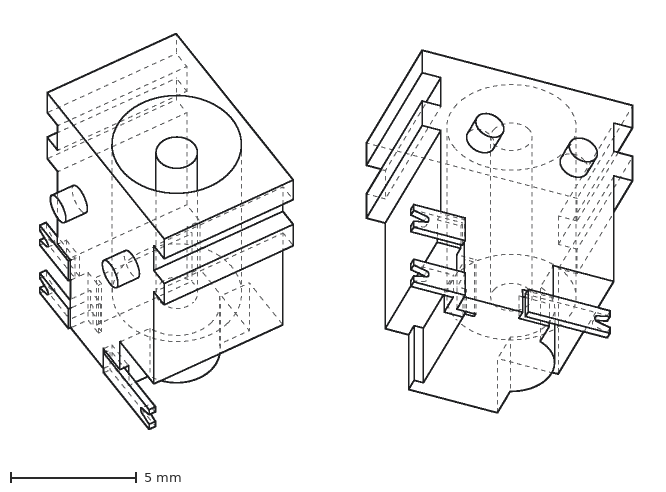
import cadquery as cq


HOUSING_DEPTH = 6.0
HOUSING_TOP_Z = 12.5
FLANGE_LEFT_X = 0.4
FLANGE_WIDTH = 9.0
FLANGE_OVERHANG = 0.8
UPPER_BODY_BOTTOM_Z = 2.9
TOP_FLANGE_BOTTOM_Z = 11.3
LOWER_FLANGE_TOP_Z = 9.8
LOWER_FLANGE_BOTTOM_Z = 8.5

HOUSING_CENTER_X = FLANGE_LEFT_X + FLANGE_WIDTH / 2
BODY_LEFT_X = FLANGE_LEFT_X + FLANGE_OVERHANG
BODY_WIDTH = FLANGE_WIDTH - 2 * FLANGE_OVERHANG

FOOT_LEFT_X = 2.2
FOOT_RIGHT_X = 6.0
FOOT_FRONT_WALL = 0.8
FOOT_BACK_WALL = 0.6
FOOT_RECESS_DEPTH = 0.4
FOOT_SLOT_WIDTH = 0.15

SOCKET_X = 5.4
SOCKET_Y = HOUSING_DEPTH / 2
BORE_DIAMETER = 5.15
BORE_FLOOR_THICKNESS = 0.6
BORE_FLOOR_Z = UPPER_BODY_BOTTOM_Z + BORE_FLOOR_THICKNESS
PIN_DIAMETER = 1.65
PIN_TOP_DROP = 0.5
BOSS_DIAMETER = 3.45

PEG_DIAMETER = 1.2
PEG_LENGTH = 1.0
PEG_SPACING = 4.0
PEG_Z = LOWER_FLANGE_BOTTOM_Z

TERMINAL_HEIGHT = 1.2
TERMINAL_THICKNESS = 0.3
TERMINAL_PROUD = 0.1
TERMINAL_FRONT_Y = -TERMINAL_PROUD
TERMINAL_SLOT_DEPTH = 0.4
SIDE_TERMINAL_Z = UPPER_BODY_BOTTOM_Z
RIGHT_TERMINAL_TIP_X = 8.4
RIGHT_TERMINAL_LENGTH = 3.5
RIGHT_SLOT_CLEARANCE = 0.2
RIGHT_TERMINAL_LEFT_X = RIGHT_TERMINAL_TIP_X - RIGHT_TERMINAL_LENGTH

LEG_THICKNESS = 0.4
LEG_BACK_Y = 1.15

NOTCH_MOUTH = 0.58
NOTCH_THROAT = 0.3
NOTCH_FLANK_DEPTH = 0.55
NOTCH_DEPTH = 0.65


def box_between(x_min, x_max, y_min, y_max, z_min, z_max):
    """Box given by its limits along each axis."""
    size = (x_max - x_min, y_max - y_min, z_max - z_min)
    return cq.Workplane("XY").box(*size, centered=False).translate((x_min, y_min, z_min))


def upright_cylinder(diameter, z_min, z_max):
    """Vertical cylinder on the socket axis."""
    base = cq.Workplane("XY", origin=(SOCKET_X, SOCKET_Y, z_min))
    return base.circle(diameter / 2).extrude(z_max - z_min)


def make_flange(z_min, z_max):
    """Wide band around the left and right sides of the housing."""
    flange_right_x = FLANGE_LEFT_X + FLANGE_WIDTH
    return box_between(FLANGE_LEFT_X, flange_right_x, 0, HOUSING_DEPTH, z_min, z_max)


def make_foot():
    """Block below the body, recessed on the left, with the round boss at its right."""
    foot = box_between(FOOT_LEFT_X, FOOT_RIGHT_X, 0, HOUSING_DEPTH, 0, UPPER_BODY_BOTTOM_Z)
    foot = foot.union(upright_cylinder(BOSS_DIAMETER, 0, UPPER_BODY_BOTTOM_Z))
    recess_x = FOOT_LEFT_X + FOOT_RECESS_DEPTH
    recess_back_y = HOUSING_DEPTH - FOOT_BACK_WALL
    recess = box_between(
        FOOT_LEFT_X, recess_x, FOOT_FRONT_WALL, recess_back_y, 0, UPPER_BODY_BOTTOM_Z
    )
    slot = box_between(
        FOOT_LEFT_X, recess_x + FOOT_RECESS_DEPTH,
        FOOT_FRONT_WALL, FOOT_FRONT_WALL + FOOT_SLOT_WIDTH,
        0, UPPER_BODY_BOTTOM_Z,
    )
    return foot.cut(recess).cut(slot)


def make_pegs():
    """Two round locating pegs standing out from the front face."""
    base = cq.Workplane("XZ", origin=(HOUSING_CENTER_X, 0, PEG_Z))
    peg_centers = [(-PEG_SPACING / 2, 0), (PEG_SPACING / 2, 0)]
    return base.pushPoints(peg_centers).circle(PEG_DIAMETER / 2).extrude(PEG_LENGTH)


def make_housing():
    """Housing with flanges, foot, pegs, socket bore and terminal slots."""
    body_right_x = BODY_LEFT_X + BODY_WIDTH
    housing = box_between(
        BODY_LEFT_X, body_right_x, 0, HOUSING_DEPTH, UPPER_BODY_BOTTOM_Z, HOUSING_TOP_Z
    )
    housing = housing.union(make_flange(TOP_FLANGE_BOTTOM_Z, HOUSING_TOP_Z))
    housing = housing.union(make_flange(LOWER_FLANGE_BOTTOM_Z, LOWER_FLANGE_TOP_Z))
    housing = housing.union(make_foot()).union(make_pegs())

    bore = upright_cylinder(BORE_DIAMETER, BORE_FLOOR_Z, HOUSING_TOP_Z)
    side_slot = box_between(
        BODY_LEFT_X, FOOT_LEFT_X, 0, TERMINAL_SLOT_DEPTH,
        SIDE_TERMINAL_Z, SIDE_TERMINAL_Z + TERMINAL_HEIGHT,
    )
    right_slot = box_between(
        RIGHT_TERMINAL_LEFT_X - RIGHT_SLOT_CLEARANCE, FOOT_RIGHT_X,
        0, TERMINAL_SLOT_DEPTH, 0, TERMINAL_HEIGHT,
    )
    return housing.cut(bore).cut(side_slot).cut(right_slot)


def make_terminal(tip_x, inward, length, z_bottom):
    """Flat terminal with a notched tip; inward is +1 or -1, the X direction away from the tip."""
    half_height = TERMINAL_HEIGHT / 2
    back_y = TERMINAL_FRONT_Y + TERMINAL_THICKNESS
    profile = cq.Workplane("XZ", origin=(tip_x, back_y, z_bottom + half_height))
    return (
        profile.moveTo(0, half_height)
        .lineTo(inward * length, half_height)
        .lineTo(inward * length, -half_height)
        .lineTo(0, -half_height)
        .lineTo(0, -NOTCH_MOUTH / 2)
        .lineTo(inward * NOTCH_FLANK_DEPTH, -NOTCH_THROAT / 2)
        .threePointArc(
            (inward * NOTCH_DEPTH, 0),
            (inward * NOTCH_FLANK_DEPTH, NOTCH_THROAT / 2),
        )
        .lineTo(0, NOTCH_MOUTH / 2)
        .close()
        .extrude(TERMINAL_THICKNESS)
    )


def make_bent_terminal():
    """Lower left terminal, bent back along the foot and then into its side recess."""
    leg_left_x = FOOT_LEFT_X - LEG_THICKNESS
    terminal = make_terminal(0, 1, FOOT_LEFT_X, 0)
    leg = box_between(
        leg_left_x, FOOT_LEFT_X, TERMINAL_FRONT_Y, LEG_BACK_Y, 0, TERMINAL_HEIGHT
    )
    toe = box_between(
        leg_left_x, FOOT_LEFT_X + FOOT_RECESS_DEPTH,
        FOOT_FRONT_WALL, LEG_BACK_Y, 0, TERMINAL_HEIGHT,
    )
    return terminal.union(leg).union(toe)


housing = make_housing()
center_pin = upright_cylinder(PIN_DIAMETER, BORE_FLOOR_Z, HOUSING_TOP_Z - PIN_TOP_DROP)
side_terminal = make_terminal(0, 1, FOOT_LEFT_X, SIDE_TERMINAL_Z)
bent_terminal = make_bent_terminal()
right_terminal = make_terminal(RIGHT_TERMINAL_TIP_X, -1, RIGHT_TERMINAL_LENGTH, 0)

result = cq.Compound.makeCompound([
    housing.val(),
    center_pin.val(),
    side_terminal.val(),
    bent_terminal.val(),
    right_terminal.val(),
])